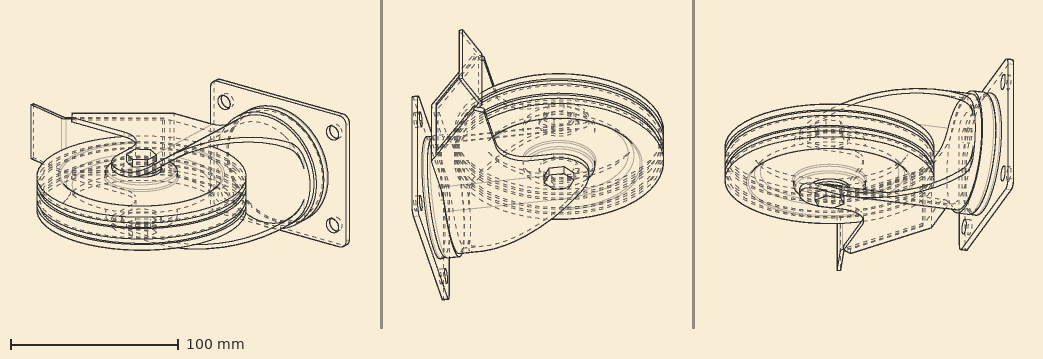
import cadquery as cq
import math


overall_length = 198.8
overall_height = 150.0

plate_length = 100.0
plate_width = 85.0
plate_thickness = 3.5
plate_corner_radius = 5.0
plate_hole_diameter = 9.0
plate_hole_pitch_x = 79.9
plate_hole_pitch_z = 60.0

wheel_radius = 125.0 / 2
tread_groove_radius = 121.5 / 2
tread_groove_inner_z = 3.4
tread_groove_outer_z = 7.0
tread_edge_z = 10.7
rim_radius = 48.9
rim_z = 12.5
rim_fillet_radius = 1.2
disc_outer_radius = 43.5
disc_outer_z = 4.8
disc_inner_z = 10.5
disc_fillet_radius = 3.2
hub_radius = 42.7 / 2
hub_face_z = 15.3
hub_fillet_radius = 1.0
spacer_radius = 23.7 / 2

swivel_offset = 40.0
head_radius = 36.8
head_groove_top_gap = 1.0
head_groove_lip_radius = 2.0

fork_radius = 35.0
fork_half_width = 20.0
fork_sheet = 3.0
fork_top_y = 72.1
fork_top_thickness = 4.0
leg_end_radius = 17.9
leg_blend_radius = 17.9
arm_bottom_y = 31.5
arm_top_x = -28.5
arm_tip_x = -77.7
arm_tip_y = 36.8
arm_heel_x = -74.1
front_edge_angle = 57.0
front_fillet_radius = 8.7

pedal_width = 35.0
pedal_thickness = 2.2
pedal_recess = 1.0
pedal_tip_y = 37.8
pedal_bend_x = -80.0
pedal_bend_inner_radius = 1.2

bolt_across_flats = 15.7
bolt_head_z = 25.0

plate_top_y = overall_height - wheel_radius
plate_bottom_y = plate_top_y - plate_thickness
fork_ceiling_y = fork_top_y - fork_top_thickness
pedal_tip_x = swivel_offset + plate_length / 2 - overall_length
fork_inner_half_width = fork_half_width - fork_sheet


def along_y(start_y):
    """Workplane at height start_y: local x is X, local y is Z, and a negative extrude goes up."""
    return cq.Workplane("XZ", origin=(0, start_y, 0))


def make_plate():
    return (
        along_y(plate_bottom_y)
        .center(swivel_offset, 0)
        .rect(plate_length, plate_width)
        .extrude(-plate_thickness)
        .edges("|Y")
        .fillet(plate_corner_radius)
        .faces(">Y")
        .workplane(origin=(swivel_offset, plate_top_y, 0))
        .rect(plate_hole_pitch_x, plate_hole_pitch_z, forConstruction=True)
        .vertices()
        .hole(plate_hole_diameter)
    )


def make_head():
    """Turned swivel head; two quarter-round lips meet in a sharp groove below the plate."""
    upper_lip_y = plate_bottom_y - head_groove_top_gap
    groove_y = upper_lip_y - head_groove_lip_radius
    lower_lip_y = groove_y - head_groove_lip_radius
    groove_bottom = (head_radius - head_groove_lip_radius, groove_y)
    return (
        cq.Workplane("XY", origin=(swivel_offset, 0, 0))
        .moveTo(0, fork_top_y)
        .lineTo(head_radius, fork_top_y)
        .lineTo(head_radius, lower_lip_y)
        .radiusArc(groove_bottom, -head_groove_lip_radius)
        .radiusArc((head_radius, upper_lip_y), -head_groove_lip_radius)
        .lineTo(head_radius, plate_bottom_y)
        .lineTo(0, plate_bottom_y)
        .close()
        .revolve(360, (0, 0), (0, 1))
    )


def fork_plan(inset, top_y):
    """Prism of the fork's keyhole plan, moved inwards by inset, from the leg ends up to top_y."""
    blend_radius = (swivel_offset**2 + fork_half_width**2 - fork_radius**2) / (
        2 * (fork_radius - fork_half_width)
    )
    blend_center_z = fork_half_width + blend_radius
    radius = fork_radius - inset
    half_width = fork_half_width - inset
    share = radius / (fork_radius + blend_radius)
    touch_x = swivel_offset * (1 - share)
    touch_z = blend_center_z * share
    return (
        along_y(-leg_end_radius)
        .moveTo(arm_tip_x, -half_width)
        .lineTo(0, -half_width)
        .tangentArcPoint((touch_x, -touch_z), relative=False)
        .threePointArc((swivel_offset + radius, 0), (touch_x, touch_z))
        .tangentArcPoint((0, half_width), relative=False)
        .lineTo(arm_tip_x, half_width)
        .close()
        .extrude(-(top_y + leg_end_radius))
    )


def fork_side():
    """Side outline of the fork as a slab across its full width."""
    angle = math.radians(front_edge_angle)
    edge_start = (leg_end_radius * math.sin(angle), -leg_end_radius * math.cos(angle))
    lip_x = edge_start[0] + (fork_ceiling_y - edge_start[1]) / math.tan(angle)
    lip_end_x = swivel_offset + fork_radius
    slab = (
        cq.Workplane("XY", origin=(0, 0, -fork_radius))
        .moveTo(arm_top_x, fork_top_y)
        .lineTo(arm_tip_x, arm_tip_y)
        .lineTo(arm_heel_x, arm_bottom_y)
        .lineTo(-leg_end_radius - leg_blend_radius, arm_bottom_y)
        .radiusArc((-leg_end_radius, arm_bottom_y - leg_blend_radius), leg_blend_radius)
        .lineTo(-leg_end_radius, 0)
        .threePointArc((0, -leg_end_radius), edge_start)
        .lineTo(lip_x, fork_ceiling_y)
        .lineTo(lip_end_x, fork_ceiling_y)
        .lineTo(lip_end_x, fork_top_y)
        .close()
        .extrude(2 * fork_radius)
    )
    lip_corner = cq.selectors.NearestToPointSelector((lip_x, fork_ceiling_y, 0))
    return slab.edges("|Z").edges(lip_corner).fillet(front_fillet_radius)


def make_fork():
    """Sheet shell open below and at the arms, closed above by the top plate."""
    cavity = fork_plan(fork_sheet, fork_ceiling_y)
    return fork_plan(0, fork_top_y).intersect(fork_side()).cut(cavity)


def make_pedal():
    """Bent plate whose web lies between the fork arms, parallel to their sloping edge."""
    slope = math.atan2(fork_top_y - arm_tip_y, arm_top_x - arm_tip_x)

    def web_point_at_x(x, depth):
        return (x, arm_tip_y + (x - arm_tip_x) * math.tan(slope) - depth / math.cos(slope))

    def web_point_at_ceiling(depth):
        rise = fork_ceiling_y - arm_tip_y + depth / math.cos(slope)
        return (arm_tip_x + rise / math.tan(slope), fork_ceiling_y)

    under_depth = pedal_recess + pedal_thickness
    tip_under = (pedal_tip_x, pedal_tip_y)
    bend_under = web_point_at_x(pedal_bend_x, under_depth)
    tilt = math.atan2(tip_under[1] - bend_under[1], bend_under[0] - tip_under[0])
    tip = (
        tip_under[0] + pedal_thickness * math.sin(tilt),
        tip_under[1] + pedal_thickness * math.cos(tilt),
    )
    bend_shift_x = -pedal_thickness * math.sin((slope - tilt) / 2) / math.cos((slope + tilt) / 2)
    bend = web_point_at_x(pedal_bend_x + bend_shift_x, pedal_recess)

    plate = (
        cq.Workplane("XY", origin=(0, 0, -pedal_width / 2))
        .polyline(
            [
                tip,
                bend,
                web_point_at_ceiling(pedal_recess),
                web_point_at_ceiling(under_depth),
                bend_under,
                tip_under,
            ]
        )
        .close()
        .extrude(pedal_width)
    )
    for corner, radius in (
        (bend, pedal_bend_inner_radius),
        (bend_under, pedal_bend_inner_radius + pedal_thickness),
    ):
        nearest = cq.selectors.NearestToPointSelector((*corner, 0))
        plate = plate.edges("|Z").edges(nearest).fillet(radius)
    return plate


def round_ring_edge(body, radius, z, fillet_radius):
    """Fillet the circular edge of the given radius that lies at height z around the axle."""
    margin = 0.2
    ring_box = cq.selectors.BoxSelector(
        (-radius - margin, -radius - margin, z - margin),
        (radius + margin, radius + margin, z + margin),
        boundingbox=True,
    )
    ring = body.edges("%CIRCLE").edges(ring_box).edges(cq.selectors.RadiusNthSelector(-1))
    return ring.fillet(fillet_radius)


def make_wheel():
    """Wheel revolved from its half section and mirrored; section points are (radius, z)."""
    half_section = [
        (0, 0),
        (wheel_radius, 0),
        (wheel_radius, tread_groove_inner_z),
        (tread_groove_radius, tread_groove_inner_z),
        (tread_groove_radius, tread_groove_outer_z),
        (wheel_radius, tread_groove_outer_z),
        (wheel_radius, tread_edge_z),
        (rim_radius, rim_z),
        (disc_outer_radius, disc_outer_z),
        (hub_radius, disc_inner_z),
        (hub_radius, hub_face_z),
        (spacer_radius, hub_face_z),
        (spacer_radius, fork_inner_half_width),
        (0, fork_inner_half_width),
    ]
    half = cq.Workplane("XZ").polyline(half_section).close().revolve(360, (0, 0), (0, 1))
    half = round_ring_edge(half, rim_radius, rim_z, rim_fillet_radius)
    half = round_ring_edge(half, disc_outer_radius, disc_outer_z, disc_fillet_radius)
    half = round_ring_edge(half, hub_radius, disc_inner_z, hub_fillet_radius)
    half = round_ring_edge(half, hub_radius, hub_face_z, hub_fillet_radius)
    return half.union(half.mirror("XY"))


def make_bolt():
    """Hexagonal bolt heads on both legs joined by the axle, with corners pointing along Y."""
    corner_diameter = bolt_across_flats / math.cos(math.pi / 6)
    return (
        cq.Workplane("XY", origin=(0, 0, -bolt_head_z))
        .polygon(6, corner_diameter)
        .extrude(2 * bolt_head_z)
        .rotate((0, 0, 0), (0, 0, 1), 90)
    )


result = (
    make_plate()
    .union(make_head())
    .union(make_fork())
    .union(make_pedal())
    .union(make_wheel())
    .union(make_bolt())
)